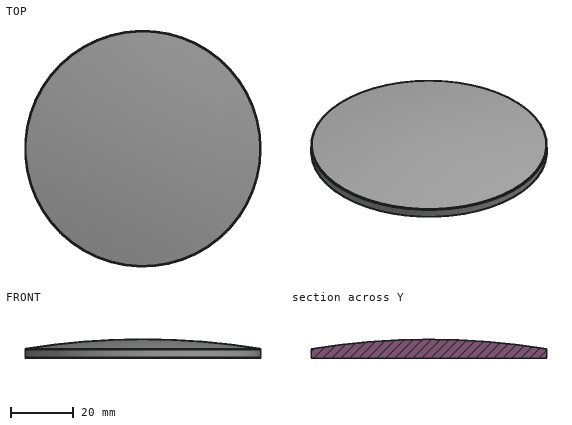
import cadquery as cq
import math

diameter = 75.0
centre_thickness = 6.1
edge_thickness = 3.1
bevel = 0.3

rim_radius = diameter / 2
face_radius = rim_radius - bevel
dome_rise = centre_thickness - edge_thickness
dome_radius = (face_radius**2 + dome_rise**2) / (2 * dome_rise)

mid_x = face_radius / 2
mid_z = centre_thickness - dome_radius + math.sqrt(dome_radius**2 - mid_x**2)

half_section = (
    cq.Workplane("XZ")
    .lineTo(face_radius, 0)
    .lineTo(rim_radius, bevel)
    .lineTo(rim_radius, edge_thickness - bevel)
    .lineTo(face_radius, edge_thickness)
    .threePointArc((mid_x, mid_z), (0, centre_thickness))
    .close()
)
result = half_section.revolve(360, (0, 0, 0), (0, 1, 0))